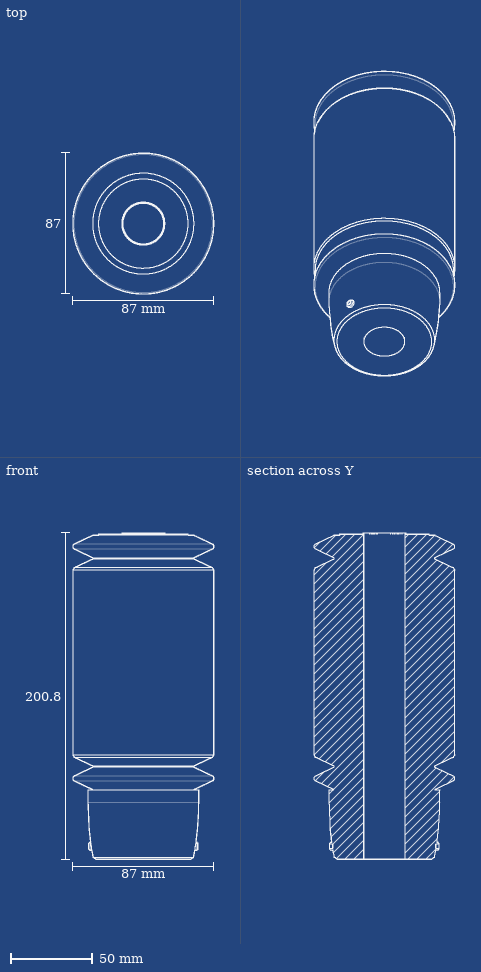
import cadquery as cq

height = 200.8
body_radius = 87.0 / 2
root_radius = 31.1

pad_radius = 55.0 / 2
pad_height = 0.6
bore_radius = 25.0 / 2
lip_radius = 13.2
lip_height = 0.8

cone_height = 5.5
cone_depth = 11.5
rim_radius = root_radius + cone_depth
upper_groove_z = 185.0
lower_groove_z = 57.0
shoulder_height = 1.5
groove_floor = 0.6

stem_radius = 34.1
stem_top = 42.8
stem_curve_top = 35.0
stem_end_radius = 31.0
stem_chamfer_height = 1.2
stem_chamfer_width = 1.8

pin_diameter = 5.0
pin_z = 8.0
pin_tip = 33.7
pin_start = 28.1
pin_chamfer = 0.8
socket_diameter = 2.5
socket_depth = 2.0


def make_body():
    """Revolve the grooved body and stem about Z."""
    pad_top = height - lip_height
    flange_top = pad_top - pad_height
    upper_rim_top = flange_top - cone_height
    upper_rim_bottom = upper_groove_z + groove_floor / 2 + cone_height
    upper_shoulder = upper_groove_z - groove_floor / 2 - cone_height
    lower_shoulder = lower_groove_z + groove_floor / 2 + cone_height
    lower_rim_top = lower_groove_z - groove_floor / 2 - cone_height
    lower_rim_bottom = stem_top + cone_height
    profile = (
        cq.Workplane("XZ")
        .moveTo(0, height)
        .lineTo(lip_radius, height)
        .lineTo(lip_radius, pad_top)
        .lineTo(pad_radius, pad_top)
        .lineTo(pad_radius, flange_top)
        .lineTo(root_radius, flange_top)
        .lineTo(rim_radius, upper_rim_top)
        .threePointArc((body_radius, (upper_rim_top + upper_rim_bottom) / 2), (rim_radius, upper_rim_bottom))
        .lineTo(root_radius, upper_groove_z + groove_floor / 2)
        .lineTo(root_radius, upper_groove_z - groove_floor / 2)
        .lineTo(rim_radius, upper_shoulder)
        .lineTo(body_radius, upper_shoulder - shoulder_height)
        .lineTo(body_radius, lower_shoulder + shoulder_height)
        .lineTo(rim_radius, lower_shoulder)
        .lineTo(root_radius, lower_groove_z + groove_floor / 2)
        .lineTo(root_radius, lower_groove_z - groove_floor / 2)
        .lineTo(rim_radius, lower_rim_top)
        .threePointArc((body_radius, (lower_rim_top + lower_rim_bottom) / 2), (rim_radius, lower_rim_bottom))
        .lineTo(root_radius, stem_top)
        .lineTo(stem_radius, stem_top)
        .lineTo(stem_radius, stem_curve_top)
        .tangentArcPoint((stem_end_radius, stem_chamfer_height), relative=False)
        .lineTo(stem_end_radius - stem_chamfer_width, 0)
        .lineTo(0, 0)
        .close()
    )
    return profile.revolve(360, (0, 0, 0), (0, 1, 0))


def make_bore():
    """Through bore along the whole height."""
    return cq.Workplane("XY").circle(bore_radius).extrude(height)


def make_pin(side):
    """Radial pin with a chamfered tip and a round socket; side is +1 or -1 along X."""
    axis = cq.Vector(side, 0, 0)
    plane = cq.Plane(origin=(side * pin_start, 0, pin_z), xDir=(0, 1, 0), normal=axis)
    pin = cq.Workplane(plane).circle(pin_diameter / 2).extrude(pin_tip - pin_start)
    pin = pin.faces(cq.selectors.DirectionMinMaxSelector(axis)).chamfer(pin_chamfer)
    socket_plane = cq.Plane(
        origin=(side * (pin_tip - socket_depth), 0, pin_z), xDir=(0, 1, 0), normal=axis
    )
    socket = cq.Workplane(socket_plane).circle(socket_diameter / 2).extrude(socket_depth)
    return pin.cut(socket), socket


result = make_body().cut(make_bore())
for side in (1, -1):
    pin, socket = make_pin(side)
    result = result.union(pin).cut(socket)